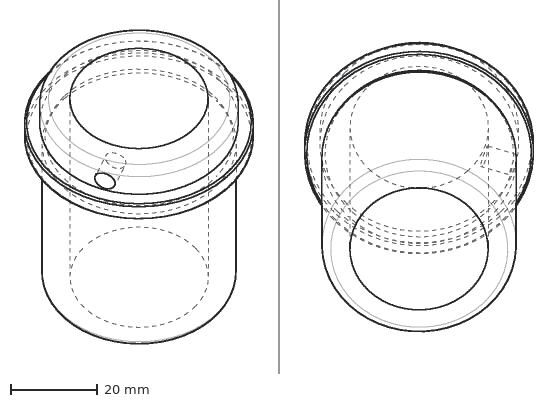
import cadquery as cq
import math

total_height = 60.0
body_radius = 45.0 / 2
head_radius = 46.0 / 2
bore_radius = 32.0 / 2
end_fillet = 2.0

collar_radius = 53.0 / 2
collar_thickness = 5.0
collar_chamfer = 0.5
head_height = 8.0
collar_top = total_height - head_height
collar_bottom = collar_top - collar_thickness

relief_height = 2.0
relief_depth = 0.7
relief_bottom = collar_bottom - relief_height

hole_diameter = 5.0
hole_height = collar_top + 3.0


def make_body():
    """Lower cylinder with a rounded bottom edge."""
    body = cq.Workplane("XY").circle(body_radius).extrude(relief_bottom)
    return body.faces("<Z").edges().fillet(end_fillet)


def make_relief():
    """Neck whose concave flank curves inward from the body and meets the collar parallel to the axis."""
    neck_radius = body_radius - relief_depth
    flank_radius = (relief_height**2 + relief_depth**2) / (2 * relief_depth)
    flank_center = neck_radius + flank_radius
    half_sweep = math.asin(relief_height / flank_radius) / 2
    flank_middle = (
        flank_center - flank_radius * math.cos(half_sweep),
        collar_bottom - flank_radius * math.sin(half_sweep),
    )
    profile = (
        cq.Workplane("XZ")
        .moveTo(0, relief_bottom)
        .lineTo(0, collar_bottom)
        .lineTo(neck_radius, collar_bottom)
        .threePointArc(flank_middle, (body_radius, relief_bottom))
        .close()
    )
    return profile.revolve(360, (0, 0, 0), (0, 1, 0))


def make_collar():
    """Flat ring with both outer edges chamfered."""
    collar = cq.Workplane("XY", origin=(0, 0, collar_bottom)).circle(collar_radius).extrude(collar_thickness)
    return collar.faces("|Z").edges().chamfer(collar_chamfer)


def make_head():
    """Upper cylinder with a rounded top edge."""
    head = cq.Workplane("XY", origin=(0, 0, collar_top)).circle(head_radius).extrude(head_height)
    return head.faces(">Z").edges().fillet(end_fillet)


def make_bore():
    """Straight bore through the full height."""
    return cq.Workplane("XY").circle(bore_radius).extrude(total_height)


def make_radial_hole():
    """Hole from the -Y side of the head into the bore."""
    return cq.Workplane("XZ", origin=(0, 0, hole_height)).circle(hole_diameter / 2).extrude(head_radius)


solid = make_body().union(make_relief()).union(make_collar()).union(make_head())
result = solid.cut(make_bore()).cut(make_radial_hole())